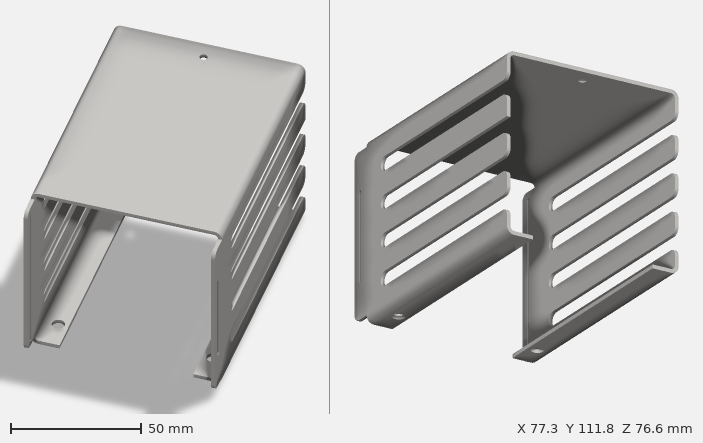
import cadquery as cq

width = 77.3
length = 111.8
height = 76.6

bend_radius = 3.2
sheet = bend_radius / 2
lip_width = 11.6

wall_overhang = 8.8
corner_radius = 3.0

slot_count = 4
slot_pitch = 16.0
slot_width = 6.0
slot_length = 92.5
square_corner_slot = 2
pattern_z = -0.5

strap_slot_width = 1.6
strap_slot_height = 38.3
strap_slot_inset = 4.0
groove_height = 65.3
groove_depth = 0.5

top_hole_diameter = 3.1
top_hole_inset = 7.6
lip_hole_diameter = 5.1
lip_hole_inset = 11.5
lip_hole_offset = 4.3

rear_y = length / 2
front_y = -length / 2
plate_front_y = front_y + wall_overhang
slot_heights = [pattern_z + (i - (slot_count - 1) / 2) * slot_pitch for i in range(slot_count)]
square_corner_z = slot_heights[square_corner_slot] + slot_width / 2


def block(x0, x1, y0, y1, z0, z1):
    """Box spanning the given limits."""
    return cq.Workplane("XY").box(x1 - x0, y1 - y0, z1 - z0, centered=False).translate((x0, y0, z0))


def folded_channel():
    """Top plate, side walls and inturned lips as one bent sheet."""
    plate_length = rear_y - plate_front_y
    mid_y = (rear_y + plate_front_y) / 2
    outer = cq.Workplane("XY").box(width, plate_length, height)
    outer = outer.edges("|Y").fillet(bend_radius)
    inner = cq.Workplane("XY").box(width - 2 * sheet, plate_length, height - 2 * sheet)
    inner = inner.edges("|Y").fillet(bend_radius - sheet)
    opening_half = width / 2 - lip_width
    opening = block(-opening_half, opening_half, -plate_length / 2, plate_length / 2, -height / 2, 0)
    return outer.cut(inner).cut(opening).translate((0, mid_y, 0))


def wall_extension(wall_x):
    """Front part of a flat side wall, overlapping the channel behind it."""
    half_flat = height / 2 - bend_radius
    extension = block(wall_x, wall_x + sheet, front_y, 0, -half_flat, half_flat)
    return extension.edges("|X and <Y").fillet(corner_radius)


def finger_slots(wall_x):
    """Cutter for the round-ended slots that run out at the rear edge, with flared mouths."""
    cutter = cq.Workplane("XY")
    half = slot_width / 2
    flare = half + corner_radius
    for z in slot_heights:
        slot = (
            cq.Workplane("YZ", origin=(wall_x, 0, z))
            .moveTo(rear_y, flare)
            .radiusArc((rear_y - corner_radius, half), corner_radius)
            .lineTo(rear_y - slot_length + half, half)
            .threePointArc((rear_y - slot_length, 0), (rear_y - slot_length + half, -half))
            .lineTo(rear_y - corner_radius, -half)
            .radiusArc((rear_y, -flare), corner_radius)
            .close()
            .extrude(sheet)
        )
        cutter = cutter.add(slot)
    return cutter.combine()


def strap_slot(wall_x):
    """Cutter for the narrow round-ended slot behind the front edge."""
    return (
        cq.Workplane("YZ", origin=(wall_x, front_y + strap_slot_inset, pattern_z))
        .slot2D(strap_slot_height, strap_slot_width, 90)
        .extrude(sheet)
    )


def inner_groove(floor_x):
    """Cutter for the shallow groove running past both ends of the strap slot."""
    return (
        cq.Workplane("YZ", origin=(floor_x, front_y + strap_slot_inset, pattern_z))
        .rect(strap_slot_width, groove_height)
        .extrude(groove_depth)
    )


def vertical_hole(x, y, z, diameter):
    """Cutter for a hole through a horizontal sheet whose lower face is at z."""
    return cq.Workplane("XY", origin=(x, y, z)).circle(diameter / 2).extrude(sheet)


left_wall_x = -width / 2
right_wall_x = width / 2 - sheet

result = folded_channel()
for wall_x in (left_wall_x, right_wall_x):
    result = result.union(wall_extension(wall_x))
for wall_x in (left_wall_x, right_wall_x):
    result = result.cut(finger_slots(wall_x)).cut(strap_slot(wall_x))
for floor_x in (left_wall_x + sheet - groove_depth, right_wall_x):
    result = result.cut(inner_groove(floor_x))

square_corner = block(
    right_wall_x, width / 2, rear_y - corner_radius, rear_y,
    square_corner_z, square_corner_z + corner_radius,
)
result = result.union(square_corner)

result = result.cut(vertical_hole(0, rear_y - top_hole_inset, height / 2 - sheet, top_hole_diameter))
lip_hole_x = width / 2 - lip_width + lip_hole_offset
for x in (-lip_hole_x, lip_hole_x):
    result = result.cut(vertical_hole(x, plate_front_y + lip_hole_inset, -height / 2, lip_hole_diameter))